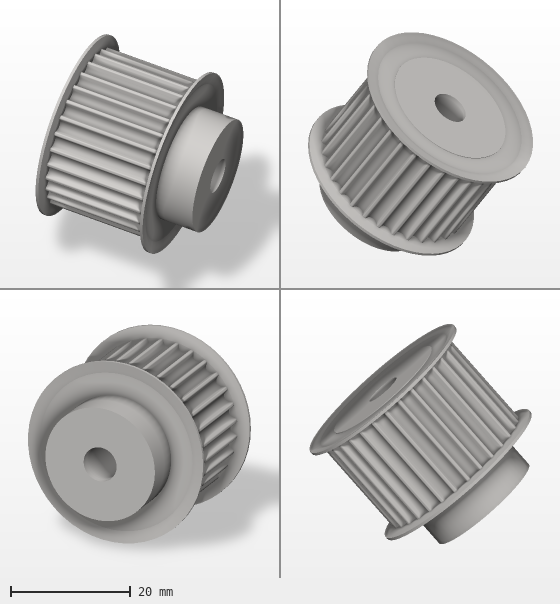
import cadquery as cq
import math


flange_diameter = 32.0
overall_length = 26.15
hub_diameter = 20.0
bore_diameter = 6.0

flanged_length = 19.78
flange_thickness = 0.5
dish_depth = 0.35

core_diameter = 21.5
core_projection = 0.13

tooth_count = 30
tip_radius = 13.95
groove_bottom_radius = 12.65
groove_arc_radius = 0.93
flank_angle = math.radians(25)
tip_fillet = 0.25
cutter_clearance = 0.32
tolerance = 0.003

front_flat_x = dish_depth
front_inner_x = dish_depth + flange_thickness
drum_length = flanged_length - 2 * front_inner_x


def cylinder(diameter, start_x, end_x):
    """Solid cylinder on the X axis between two axial places."""
    return cq.Workplane("YZ", origin=(start_x, 0, 0)).circle(diameter / 2).extrude(end_x - start_x)


def groove_cutter():
    """One belt groove, opening toward +Y: round bottom with tangent straight flanks."""
    arc_center = groove_bottom_radius + groove_arc_radius
    flank_start = arc_center - groove_arc_radius * math.sin(flank_angle)
    flank_start_width = groove_arc_radius * math.cos(flank_angle)
    flank_end = tip_radius + cutter_clearance
    flank_end_width = flank_start_width + (flank_end - flank_start) * math.tan(flank_angle)
    return (
        cq.Workplane("YZ", origin=(front_inner_x, 0, 0))
        .moveTo(flank_end, -flank_end_width)
        .lineTo(flank_start, -flank_start_width)
        .threePointArc((groove_bottom_radius, 0), (flank_start, flank_start_width))
        .lineTo(flank_end, flank_end_width)
        .close()
        .extrude(drum_length)
    )


def toothed_drum():
    """Drum with evenly spaced grooves and rounded tooth tips; grooves are centred on +Y and -Y."""
    drum = cylinder(2 * tip_radius, front_inner_x, front_inner_x + drum_length)
    groove = groove_cutter()
    for index in range(tooth_count):
        drum = drum.cut(groove.rotate((0, 0, 0), (1, 0, 0), index * 360 / tooth_count))

    def is_tip_edge(edge):
        middle = edge.Center()
        on_tip = math.hypot(middle.y, middle.z) > tip_radius - tolerance
        return edge.geomType() == "LINE" and on_tip

    tip_edges = [edge for edge in drum.edges().vals() if is_tip_edge(edge)]
    return drum.newObject(tip_edges).fillet(tip_fillet)


def dished_flange():
    """Front flange: its rim is the outermost part, its middle is set back by the dish depth."""
    rim_radius = flange_diameter / 2
    profile = [
        (front_flat_x, 0),
        (front_flat_x, tip_radius),
        (0, rim_radius),
        (flange_thickness, rim_radius),
        (front_inner_x, tip_radius),
        (front_inner_x, 0),
    ]
    return cq.Workplane("XY").polyline(profile).close().revolve(360, (0, 0, 0), (1, 0, 0))


front_flange = dished_flange()
rear_flange = front_flange.mirror("YZ").translate((flanged_length, 0, 0))
core_end = cylinder(core_diameter, front_flat_x - core_projection, front_inner_x)
hub = cylinder(hub_diameter, flanged_length - front_inner_x, overall_length)
bore = cylinder(bore_diameter, 0, overall_length)

result = toothed_drum().union(front_flange).union(rear_flange).union(core_end).union(hub).cut(bore)